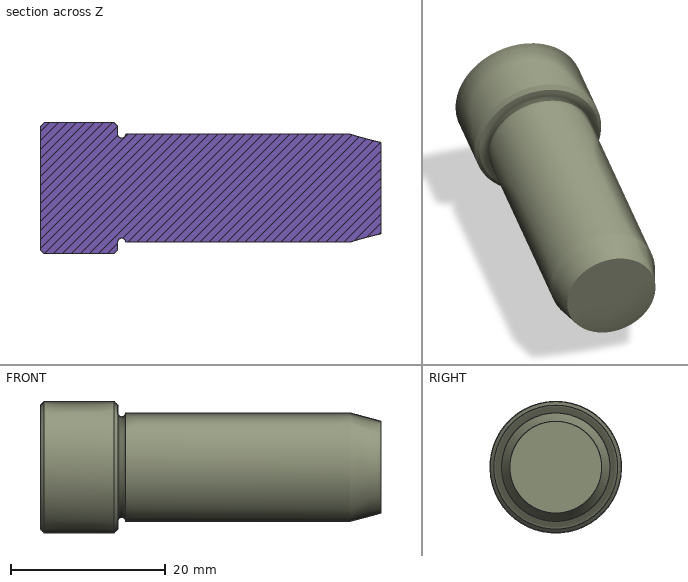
import cadquery as cq
import math

total_length = 44.0
head_diameter = 17.0
head_length = 10.0
head_chamfer = 0.5

shank_diameter = 14.0
taper_length = 4.0
taper_half_angle = 15.0

groove_radius = 0.5

head_radius = head_diameter / 2
shank_radius = shank_diameter / 2
taper_start = total_length - taper_length
tip_radius = shank_radius - taper_length * math.tan(math.radians(taper_half_angle))
groove_middle = head_length + groove_radius
groove_end = head_length + 2 * groove_radius


def half_profile():
    """Half section of the pin: X along the axis, Z as the radius."""
    return (
        cq.Workplane("XZ")
        .moveTo(0, 0)
        .lineTo(0, head_radius - head_chamfer)
        .lineTo(head_chamfer, head_radius)
        .lineTo(head_length - head_chamfer, head_radius)
        .lineTo(head_length, head_radius - head_chamfer)
        .lineTo(head_length, shank_radius)
        .threePointArc((groove_middle, shank_radius - groove_radius), (groove_end, shank_radius))
        .lineTo(taper_start, shank_radius)
        .lineTo(total_length, tip_radius)
        .lineTo(total_length, 0)
        .close()
    )


result = half_profile().revolve(360, (0, 0, 0), (1, 0, 0))